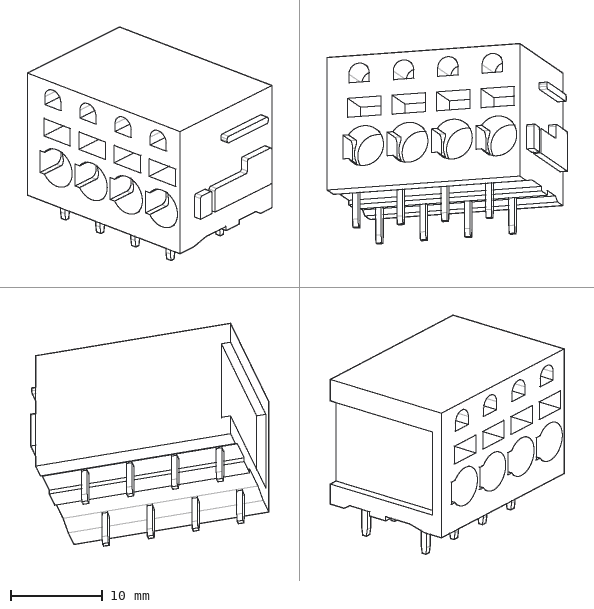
import cadquery as cq


total_length = 22.97
depth = 15.2
total_height = 18.3

tab_reach = 0.85
bar_reach = 0.92
pin_drop = 3.51
length = total_length - bar_reach
height = total_height - pin_drop

terminal_count = 4
pitch = 5.08

opening_depth = 4.6
arch_x = 3.68
arch_width = 2.32
arch_height = 2.11
arch_bottom = 11.78
window_left = 2.37
window_width = 3.81
window_bottom = 7.95
window_height = 2.11
bore_x = 4.25
bore_z = 4.66
bore_diameter = 4.43
contact_slot_depth = 3.45
contact_slot_height = 2.65
contact_slot_end_radius = 0.71

recess_depth = 1.03
recess_front = 1.25
recess_bottom = 2.4
recess_top = 12.25

underside_rise = 0.5
front_foot_back = 2.27
front_slope_back = 4.35
middle_foot_front = 7.63
middle_foot_back = 9.8
rear_slope_front = 12.52
rear_foot_front = 13.3

lock_radius = 0.25
tab_bottom = 3.55
tab_ledge = 6.32
rear_tab_front = 4.82
rear_tab_back = 14.2
rear_tab_top = 7.95
front_tab_front = 2.43
front_tab_back = 4.32
bar_front = 6.75
bar_back = 13.53
bar_bottom = 11.16
bar_top = 11.95
rear_tab_step = (bar_front + bar_back) / 2

pin_thickness = 0.65
pin_width = 0.75
pin_left = 1.81
pin_rows = (3.77, 11.9)
pin_insertion = 1.0
pin_tip_width = 0.5
pin_tip_length = 0.85
pin_top = underside_rise + pin_insertion


def box(x_range, y_range, z_range):
    """Box between the given pairs of limits."""
    corner = (x_range[0], y_range[0], z_range[0])
    size_x = x_range[1] - x_range[0]
    size_y = y_range[1] - y_range[0]
    size_z = z_range[1] - z_range[0]
    return cq.Workplane("XY", origin=corner).box(size_x, size_y, size_z, centered=False)


def housing_block():
    """Side outline with the stepped underside, drawn along the full length."""
    outline = [
        (0, 0),
        (front_foot_back, 0),
        (front_slope_back, underside_rise),
        (middle_foot_front, underside_rise),
        (middle_foot_front, 0),
        (middle_foot_back, 0),
        (middle_foot_back, underside_rise),
        (rear_slope_front, underside_rise),
        (rear_foot_front, 0),
        (depth, 0),
        (depth, height),
        (0, height),
    ]
    return cq.Workplane("YZ").polyline(outline).close().extrude(length)


def left_recess():
    return box((0, recess_depth), (recess_front, depth), (recess_bottom, recess_top))


def arch_opening(shift):
    """Round-topped opening; the arch spans the full width."""
    radius = arch_width / 2
    left = arch_x + shift - radius
    right = arch_x + shift + radius
    top = arch_bottom + arch_height
    return (
        cq.Workplane("XZ")
        .moveTo(left, arch_bottom)
        .lineTo(right, arch_bottom)
        .lineTo(right, top - radius)
        .threePointArc((arch_x + shift, top), (left, top - radius))
        .close()
        .extrude(-opening_depth)
    )


def window_opening(shift):
    left = window_left + shift
    top = window_bottom + window_height
    return box((left, left + window_width), (0, opening_depth), (window_bottom, top))


def wire_bore(shift):
    return (
        cq.Workplane("XZ", origin=(bore_x + shift, 0, bore_z))
        .circle(bore_diameter / 2)
        .extrude(-opening_depth)
    )


def contact_slot(shift):
    """Slot beside the bore, as thick as a pin, with its inner end rounded above and below."""
    left = pin_left + shift
    bottom = bore_z - contact_slot_height / 2
    top = bottom + contact_slot_height
    slot = box((left, left + pin_thickness), (0, contact_slot_depth), (bottom, top))
    return slot.edges("|X and >Y").fillet(contact_slot_end_radius)


def rear_tab():
    """Tab with a low ledge in front of a step below the bar; the step is rounded above and at its foot."""
    outline = [
        (rear_tab_front, tab_bottom),
        (rear_tab_front, tab_ledge),
        (rear_tab_step, tab_ledge),
        (rear_tab_step, rear_tab_top),
        (rear_tab_back, rear_tab_top),
        (rear_tab_back, tab_bottom),
    ]
    tab = cq.Workplane("YZ", origin=(length, 0, 0)).polyline(outline).close().extrude(tab_reach)
    upper_edges = [edge for edge in tab.edges("|X").vals() if edge.Center().z > tab_bottom + lock_radius]
    return tab.newObject(upper_edges).fillet(lock_radius)


def front_tab():
    tab = box((length, length + tab_reach), (front_tab_front, front_tab_back), (tab_bottom, tab_ledge))
    return tab.edges("|X and >Z").fillet(lock_radius)


def locking_bar():
    bar = box((length, length + bar_reach), (bar_front, bar_back), (bar_bottom, bar_top))
    return bar.edges("|X").fillet(lock_radius)


def make_pin(left, row_y):
    """Flat pin with a tip that narrows along Y."""
    half = pin_width / 2
    tip_half = pin_tip_width / 2
    outline = [
        (row_y - half, pin_top),
        (row_y - half, pin_tip_length - pin_drop),
        (row_y - tip_half, -pin_drop),
        (row_y + tip_half, -pin_drop),
        (row_y + half, pin_tip_length - pin_drop),
        (row_y + half, pin_top),
    ]
    return cq.Workplane("YZ", origin=(left, 0, 0)).polyline(outline).close().extrude(pin_thickness)


def make_housing(pins):
    """Housing with its openings, and a matching socket for every pin."""
    housing = housing_block().cut(left_recess())
    for index in range(terminal_count):
        shift = index * pitch
        housing = housing.cut(arch_opening(shift))
        housing = housing.cut(window_opening(shift))
        housing = housing.cut(wire_bore(shift))
        housing = housing.cut(contact_slot(shift))
    for lock in (rear_tab(), front_tab(), locking_bar()):
        housing = housing.union(lock)
    for pin in pins:
        housing = housing.cut(pin)
    return housing


pins = []
for index in range(terminal_count):
    for row_y in pin_rows:
        pins.append(make_pin(pin_left + index * pitch, row_y))

housing = make_housing(pins)

result = cq.Compound.makeCompound([housing.val(), *[pin.val() for pin in pins]])